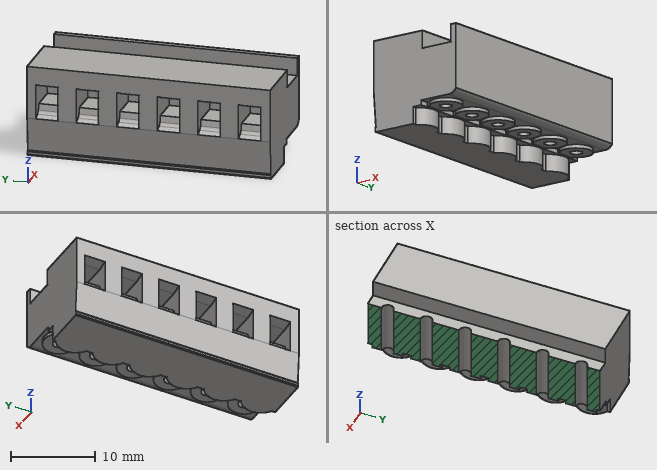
import cadquery as cq

WIDTH = 12.4
LENGTH = 30.0
HEIGHT = 11.3
FRONT_FACE_X = -WIDTH / 2
REAR_FACE_X = WIDTH / 2
TOP_Z = HEIGHT / 2
BOTTOM_Z = -HEIGHT / 2

WAYS = 6
PITCH = 5.0
ROW_CENTRE_Y = 0.05
WAY_POSITIONS = [ROW_CENTRE_Y + (way - (WAYS - 1) / 2) * PITCH for way in range(WAYS)]

CHANNEL_START = 7.35
CHANNEL_DEPTH = 2.2
RIB_THICKNESS = 0.8

LEG_WIDTH = 7.15
LEG_HEIGHT = 2.7
REAR_EDGE_RADIUS = 1.22
REAR_EDGE_RUN = 1.05
REAR_EDGE_RISE = 0.58

LOBE_RADIUS = 2.4
LOBE_ROOT = 5.95
LOBE_HEIGHT = 2.1

TAPER_START_DEPTH = 6.5
TAPER_INSET = 0.3
LIP_INSET = 0.2
LIP_HEIGHT = 0.5
LIP_LEDGE_DROP = 0.15
LIP_CHAMFER_RUN = 0.1
LIP_CHAMFER_HEIGHT = 0.17

POCKET_WIDTH = 2.73
POCKET_DEPTH = 5.0
POCKET_TOP = 2.25
CEILING_DROP = 0.28
SILL_RUN = 0.72
SILL_RISE = 0.35
SILL_CURVE_MID = (0.97, 0.50)
SILL_CURVE_END = (1.13, 0.72)
POCKET_FLOOR_START = 1.33
POCKET_FLOOR_RISE = 1.46

SCREW_X = FRONT_FACE_X + 8.9
SCREW_DIAMETER = 1.5
PAD_DIAMETER = 4.0
PAD_HEIGHT = 0.45
PAD_WEB_WIDTH = 2.7


def make_body():
    """Constant cross-section running the full length of the block."""
    channel_z = TOP_Z - CHANNEL_DEPTH
    channel_start_x = FRONT_FACE_X + CHANNEL_START
    rib_x = REAR_FACE_X - RIB_THICKNESS
    underside_z = BOTTOM_Z + LEG_HEIGHT
    leg_x = FRONT_FACE_X + LEG_WIDTH
    lip_x = FRONT_FACE_X + LIP_INSET
    lip_z = BOTTOM_Z + LIP_HEIGHT
    section = (
        cq.Workplane("XZ")
        .moveTo(FRONT_FACE_X, TOP_Z)
        .lineTo(channel_start_x, TOP_Z)
        .lineTo(channel_start_x, channel_z)
        .lineTo(rib_x, channel_z)
        .lineTo(rib_x, TOP_Z)
        .lineTo(REAR_FACE_X, TOP_Z)
        .lineTo(REAR_FACE_X, underside_z + REAR_EDGE_RISE)
        .radiusArc((REAR_FACE_X - REAR_EDGE_RUN, underside_z), REAR_EDGE_RADIUS)
        .lineTo(leg_x, underside_z)
        .lineTo(leg_x, BOTTOM_Z)
        .lineTo(lip_x + LIP_CHAMFER_RUN, BOTTOM_Z)
        .lineTo(lip_x, BOTTOM_Z + LIP_CHAMFER_HEIGHT)
        .lineTo(lip_x, lip_z)
        .lineTo(FRONT_FACE_X + TAPER_INSET, lip_z + LIP_LEDGE_DROP)
        .lineTo(FRONT_FACE_X, TOP_Z - TAPER_START_DEPTH)
        .close()
    )
    return section.extrude(LENGTH / 2, both=True)


def make_leg_recess():
    """Strip removed from the lower rear of the leg to make room for the round lobes."""
    recess_width = LEG_WIDTH - LOBE_ROOT
    return (
        cq.Workplane("XY", origin=(FRONT_FACE_X + LOBE_ROOT + recess_width / 2, 0, BOTTOM_Z))
        .rect(recess_width, LENGTH)
        .extrude(LOBE_HEIGHT)
    )


def make_leg_lobe(centre_y):
    """Upright rounded lobe on the rear of the leg, tangent to the leg's rear plane."""
    centre_x = FRONT_FACE_X + LEG_WIDTH - LOBE_RADIUS
    return (
        cq.Workplane("XY", origin=(centre_x, centre_y, BOTTOM_Z))
        .circle(LOBE_RADIUS)
        .extrude(LOBE_HEIGHT)
    )


def make_wire_pocket(centre_y):
    """Pocket with a sloped entry in its ceiling and a ramped, curved sill leading up to its floor."""
    sill_z = TOP_Z - TAPER_START_DEPTH
    mouth_top_z = TOP_Z - POCKET_TOP
    ceiling_z = mouth_top_z - CEILING_DROP
    back_x = FRONT_FACE_X + POCKET_DEPTH
    floor_z = sill_z + POCKET_FLOOR_RISE

    def from_sill(run, rise):
        return (FRONT_FACE_X + run, sill_z + rise)

    return (
        cq.Workplane("XZ", origin=(0, centre_y, 0))
        .moveTo(FRONT_FACE_X, sill_z)
        .lineTo(*from_sill(SILL_RUN, SILL_RISE))
        .threePointArc(from_sill(*SILL_CURVE_MID), from_sill(*SILL_CURVE_END))
        .lineTo(*from_sill(POCKET_FLOOR_START, POCKET_FLOOR_RISE))
        .lineTo(back_x, floor_z)
        .lineTo(back_x, ceiling_z)
        .lineTo(FRONT_FACE_X + POCKET_FLOOR_START, ceiling_z)
        .lineTo(FRONT_FACE_X, mouth_top_z)
        .close()
        .extrude(POCKET_WIDTH / 2, both=True)
    )


def make_pad(centre_y):
    """Round pad under a screw hole, joined to the leg by a short web."""
    leg_x = FRONT_FACE_X + LEG_WIDTH
    pad_bottom_z = BOTTOM_Z + LEG_HEIGHT - PAD_HEIGHT
    plane = cq.Workplane("XY", origin=(0, 0, pad_bottom_z))
    disc = plane.center(SCREW_X, centre_y).circle(PAD_DIAMETER / 2).extrude(PAD_HEIGHT)
    web_length = SCREW_X - leg_x
    web = (
        plane.center(leg_x + web_length / 2, centre_y)
        .rect(web_length, PAD_WEB_WIDTH)
        .extrude(PAD_HEIGHT)
    )
    return disc.union(web)


def make_screw_hole(centre_y):
    """Vertical hole through the whole block."""
    return (
        cq.Workplane("XY", origin=(SCREW_X, centre_y, BOTTOM_Z))
        .circle(SCREW_DIAMETER / 2)
        .extrude(HEIGHT)
    )


result = make_body().cut(make_leg_recess())
for way_y in WAY_POSITIONS:
    result = result.union(make_leg_lobe(way_y))
    result = result.union(make_pad(way_y))
    result = result.cut(make_wire_pocket(way_y))
    result = result.cut(make_screw_hole(way_y))